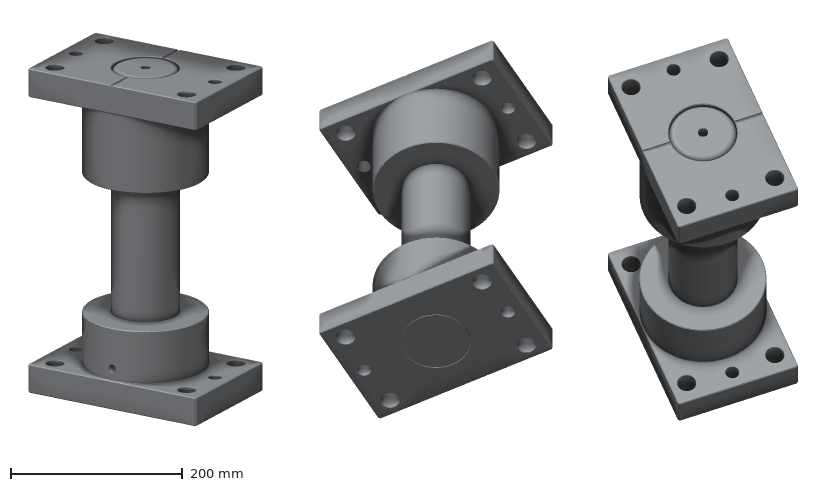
import cadquery as cq
import math

total_height = 400.0
gap_between_plates = 330.0

plate_length = 230.0
plate_width = 150.0
plate_thickness = (total_height - gap_between_plates) / 2
plate_corner_chamfer = 2.0
plate_edge_chamfer = 1.0

boss_diameter = 148.0
boss_chamfer = 1.0
boss_foot_fillet = 1.0
upper_flange_height = 130.0
lower_flange_height = 100.0

bolt_hole_diameter = 22.0
bolt_spacing_x = 180.0
bolt_spacing_y = 110.0
dowel_hole_diameter = 16.0
dowel_spacing = 190.0
hole_edge_chamfer = 0.5

column_diameter = 80.0
column_end_radius = 8.0
bore_edge_chamfer = 1.0

centre_hole_diameter = 12.0
centre_hole_depth = 20.0
drill_point_angle = 118.0

groove_radius = 2.0

screw_hole_diameter = 10.5
screw_hole_height = 50.0

axis_start = (0, 0, 0)
axis_end = (0, 1, 0)


def make_plate():
    """Plate standing on Z = 0 with chamfered corners and edges."""
    return (
        cq.Workplane("XY")
        .box(plate_length, plate_width, plate_thickness, centered=(True, True, False))
        .edges("|Z")
        .chamfer(plate_corner_chamfer)
        .faces("<Z or >Z")
        .edges()
        .chamfer(plate_edge_chamfer)
    )


def make_boss(height):
    """Round boss with a concave fillet at its foot and a chamfer around its free end."""
    radius = boss_diameter / 2
    foot_radius = radius + boss_foot_fillet
    fillet_end = plate_thickness + boss_foot_fillet
    arc_inset = boss_foot_fillet * (1 - math.sqrt(0.5))
    return (
        cq.Workplane("XZ")
        .moveTo(0, plate_thickness)
        .lineTo(foot_radius, plate_thickness)
        .threePointArc((radius + arc_inset, plate_thickness + arc_inset), (radius, fillet_end))
        .lineTo(radius, height - boss_chamfer)
        .lineTo(radius - boss_chamfer, height)
        .lineTo(0, height)
        .close()
        .revolve(360, axis_start, axis_end)
    )


def make_flared_cutter(radius, chamfer, height):
    """Round cutter standing on Z = 0 that flares into a chamfer at each end."""
    return (
        cq.Workplane("XZ")
        .lineTo(radius + chamfer, 0)
        .lineTo(radius, chamfer)
        .lineTo(radius, height - chamfer)
        .lineTo(radius + chamfer, height)
        .lineTo(0, height)
        .close()
        .revolve(360, axis_start, axis_end)
    )


def make_hole_grid(diameter, spacing_x, spacing_y, rows):
    """Cutters for two columns of through holes with chamfered mouths."""
    hole = make_flared_cutter(diameter / 2, hole_edge_chamfer, plate_thickness).val()
    return (
        cq.Workplane("XY")
        .rarray(spacing_x, spacing_y, 2, rows)
        .eachpoint(lambda place: hole.moved(place))
    )


def make_flange(height):
    """Plate on Z = 0 with a boss rising to the given height, bored through for the column."""
    bore = make_flared_cutter(column_diameter / 2, bore_edge_chamfer, height)
    bolt_holes = make_hole_grid(bolt_hole_diameter, bolt_spacing_x, bolt_spacing_y, rows=2)
    dowel_holes = make_hole_grid(dowel_hole_diameter, dowel_spacing, bolt_spacing_y, rows=1)
    return make_plate().union(make_boss(height)).cut(bore).cut(bolt_holes).cut(dowel_holes)


def make_lower_flange():
    """Flange with a radial screw hole from the front of the boss into the bore."""
    screw_hole = (
        cq.Workplane("XZ", origin=(0, 0, screw_hole_height))
        .circle(screw_hole_diameter / 2)
        .extrude(boss_diameter / 2)
    )
    return make_flange(lower_flange_height).cut(screw_hole)


def make_upper_flange():
    """Flange turned over, with a half-round groove across its top face."""
    flange = (
        make_flange(upper_flange_height)
        .rotate((0, 0, 0), (1, 0, 0), 180)
        .translate((0, 0, total_height))
    )
    groove_plane = cq.Plane(origin=(0, 0, total_height), xDir=(0, 0, -1), normal=(0, 1, 0))
    groove = cq.Workplane(groove_plane).circle(groove_radius).extrude(plate_width / 2, both=True)
    return flange.cut(groove)


def make_column():
    """Column through both flanges, rounded at the top and drilled on its axis."""
    hole_radius = centre_hole_diameter / 2
    hole_floor = total_height - centre_hole_depth
    drill_tip = hole_floor - hole_radius / math.tan(math.radians(drill_point_angle / 2))
    centre_hole = (
        cq.Workplane("XZ")
        .moveTo(0, total_height)
        .lineTo(hole_radius, total_height)
        .lineTo(hole_radius, hole_floor)
        .lineTo(0, drill_tip)
        .close()
        .revolve(360, axis_start, axis_end)
    )
    return (
        cq.Workplane("XY")
        .circle(column_diameter / 2)
        .extrude(total_height)
        .faces(">Z")
        .edges()
        .fillet(column_end_radius)
        .cut(centre_hole)
    )


lower_flange = make_lower_flange()
upper_flange = make_upper_flange()
column = make_column()

bodies = [lower_flange, upper_flange, column]
result = cq.Compound.makeCompound([body.solids().val() for body in bodies])